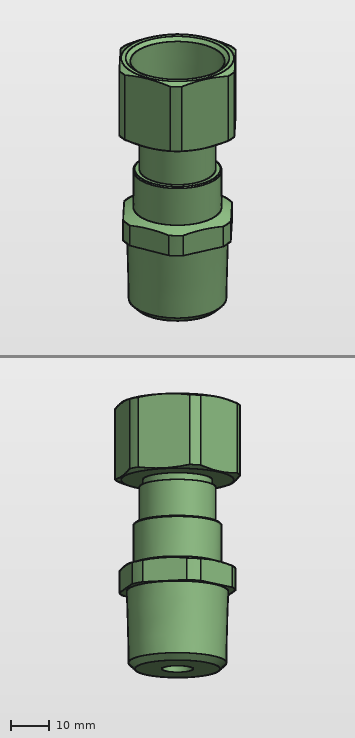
import cadquery as cq
import math

TOTAL_HEIGHT = 70.25
SPIGOT_CHAMFER_HEIGHT = 1.6
COLLAR_BOTTOM = 20.6
COLLAR_TOP = 27.6
HOUSING_TOP = 38.5
NECK_BOTTOM = 48.3
NUT_HEIGHT = 19.95
NUT_BOTTOM = TOTAL_HEIGHT - NUT_HEIGHT

NUT_ACROSS_FLATS = 30.0
NUT_CORNER_RADIUS = 16.5
NUT_FACE_RADIUS = 14.7
NUT_CHAMFER_HEIGHT = 0.7
NECK_RADIUS = 9.05
SHAFT_RADIUS = 10.0
SHAFT_BOTTOM = COLLAR_BOTTOM

SOCKET_MOUTH_RADIUS = 13.5
SOCKET_TOP_RADIUS = 12.3
SOCKET_FLOOR_RADIUS = 11.9
SOCKET_CHAMFER_DEPTH = 0.9
SOCKET_DEPTH = 18.0
SOCKET_FLOOR = TOTAL_HEIGHT - SOCKET_DEPTH

BORE_RADIUS = 4.1
BORE_CHAMFER = 1.3

SLEEVE_RADIUS = 11.5
SLEEVE_CHAMFER = 0.35
COLLAR_ACROSS_FLATS = 28.1
COLLAR_CORNER_RADIUS = 15.25
COLLAR_CHAMFER_HEIGHT = 1.25
SPIGOT_TOP_RADIUS = 13.3
SPIGOT_BOTTOM_RADIUS = 12.8
SPIGOT_END_RADIUS = 11.1


def revolve_profile(points):
    """Turn a closed (radius, height) outline about the Z axis."""
    return cq.Workplane("XZ").polyline(points).close().revolve(360, (0, 0), (0, 1))


def cylinder(radius, bottom, top):
    return cq.Workplane("XY").workplane(offset=bottom).circle(radius).extrude(top - bottom)


def hexagon(across_flats, bottom, top):
    """Hexagonal prism with two flats facing along X and corners along Y."""
    corner_diameter = across_flats / math.cos(math.radians(30))
    prism = cq.Workplane("XY").workplane(offset=bottom).polygon(6, corner_diameter).extrude(top - bottom)
    return prism.rotate((0, 0, 0), (0, 0, 1), 30)


def make_nut_head():
    turned_envelope = revolve_profile([
        (0, NUT_BOTTOM),
        (NUT_FACE_RADIUS, NUT_BOTTOM),
        (NUT_CORNER_RADIUS, NUT_BOTTOM + NUT_CHAMFER_HEIGHT),
        (NUT_CORNER_RADIUS, TOTAL_HEIGHT - NUT_CHAMFER_HEIGHT),
        (NUT_FACE_RADIUS, TOTAL_HEIGHT),
        (0, TOTAL_HEIGHT),
    ])
    return hexagon(NUT_ACROSS_FLATS, NUT_BOTTOM, TOTAL_HEIGHT).intersect(turned_envelope)


def make_spindle_cavity():
    """Chamfered tapered socket leading into the chamfered bore."""
    return revolve_profile([
        (0, SHAFT_BOTTOM),
        (BORE_RADIUS, SHAFT_BOTTOM),
        (BORE_RADIUS, SOCKET_FLOOR - BORE_CHAMFER),
        (BORE_RADIUS + BORE_CHAMFER, SOCKET_FLOOR),
        (SOCKET_FLOOR_RADIUS, SOCKET_FLOOR),
        (SOCKET_TOP_RADIUS, TOTAL_HEIGHT - SOCKET_CHAMFER_DEPTH),
        (SOCKET_MOUTH_RADIUS, TOTAL_HEIGHT),
        (0, TOTAL_HEIGHT),
    ])


def make_spindle():
    shaft = cylinder(SHAFT_RADIUS, SHAFT_BOTTOM, NECK_BOTTOM)
    neck = cylinder(NECK_RADIUS, NECK_BOTTOM, NUT_BOTTOM)
    return shaft.union(neck).union(make_nut_head()).cut(make_spindle_cavity())


def make_collar():
    turned_envelope = revolve_profile([
        (0, COLLAR_BOTTOM),
        (COLLAR_CORNER_RADIUS, COLLAR_BOTTOM),
        (COLLAR_CORNER_RADIUS, COLLAR_TOP - COLLAR_CHAMFER_HEIGHT),
        (SLEEVE_RADIUS, COLLAR_TOP),
        (0, COLLAR_TOP),
    ])
    return hexagon(COLLAR_ACROSS_FLATS, COLLAR_BOTTOM, COLLAR_TOP).intersect(turned_envelope)


def make_housing():
    spigot = revolve_profile([
        (0, 0),
        (SPIGOT_END_RADIUS, 0),
        (SPIGOT_BOTTOM_RADIUS, SPIGOT_CHAMFER_HEIGHT),
        (SPIGOT_TOP_RADIUS, COLLAR_BOTTOM),
        (0, COLLAR_BOTTOM),
    ])
    sleeve = cylinder(SLEEVE_RADIUS, COLLAR_BOTTOM, HOUSING_TOP).faces(">Z").chamfer(SLEEVE_CHAMFER)
    body = spigot.union(make_collar()).union(sleeve)
    shaft_recess = cylinder(SHAFT_RADIUS, SHAFT_BOTTOM, HOUSING_TOP)
    bore = cylinder(BORE_RADIUS, 0, SHAFT_BOTTOM)
    return body.cut(shaft_recess).cut(bore)


spindle = make_spindle()
housing = make_housing()

result = cq.Compound.makeCompound([spindle.val(), housing.val()])